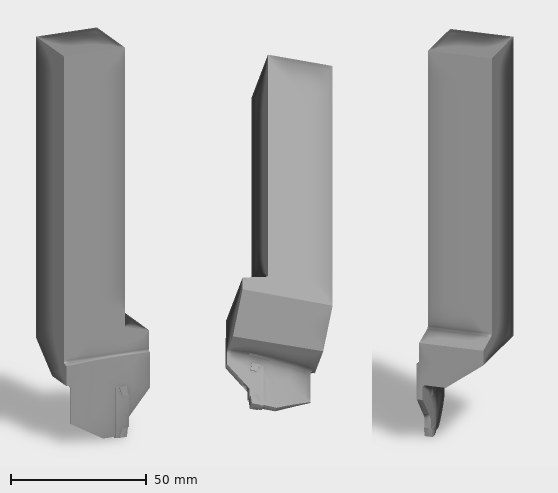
import cadquery as cq

TOTAL_HEIGHT = 151.4
SHANK_SIZE = 24.7
HEAD_DEPTH = 34.4

HEAD_BOTTOM_Z = 23.6
HEAD_SIDE_X = 27.0
HEAD_BOTTOM_START_X = 14.2
SLOPE_TOP_Z = 34.2
LEDGE_OUTER_Z = 31.3
LEDGE_INNER_Z = 32.0
FLANGE_OUTER_Z = 40.0
FLANGE_INNER_Z = 42.5
LEFT_FACE_LEAN = 0.5
CORNER_RADIUS = 0.9

CROWN_Y = 25.7
SIDE_CROWN_X = 25.5
SIDE_BACK_X = 25.6
BLADE_FRONT_Y = 1.8
BLADE_FRONT_X = 26.2
BLADE_CROWN_X = 23.0
BLADE_BACK_X = 23.3
BLADE_BOTTOM_Z = 0.6
BLADE_BOTTOM_FRONT_Y = 15.5
BLADE_FRONT_LOW_Z = 8.5
BLADE_BACK_LOW_Z = 17.7
BLADE_ROOT_RADIUS = 1.4
SELECTION_MARGIN = 0.2

INSERT_LENGTH = 19.8
INSERT_FRONT_Y = 20.5
INSERT_BACK_Y = 25.9
INSERT_TIP_Y = 25.0
INSERT_RAKE_HEIGHT = 3.6
INSERT_STEP_Y = 25.5
INSERT_PAD_INNER_Y = 23.2
INSERT_PAD_OUTER_Y = 22.0
INSERT_LEFT_X = 22.7
INSERT_RIGHT_X = 25.9
INSERT_SIDE_RELIEF = 0.3


def yz_prism(points, start_x, end_x):
    """Straight-sided outline in Y and Z, extruded along X."""
    return cq.Workplane("YZ", origin=(start_x, 0, 0)).polyline(points).close().extrude(end_x - start_x)


def right_side_profile():
    """Open plan profile along the front and up the curved right side of the head and blade."""
    return (
        cq.Workplane("XY")
        .moveTo(0, 0)
        .lineTo(HEAD_SIDE_X, 0)
        .threePointArc((SIDE_CROWN_X, CROWN_Y), (SIDE_BACK_X, HEAD_DEPTH))
    )


def make_shank_and_head():
    front = (
        cq.Workplane("XZ")
        .moveTo(-LEFT_FACE_LEAN, TOTAL_HEIGHT)
        .lineTo(SHANK_SIZE, TOTAL_HEIGHT)
        .lineTo(SHANK_SIZE, LEDGE_INNER_Z)
        .lineTo(HEAD_SIDE_X, LEDGE_OUTER_Z)
        .lineTo(HEAD_SIDE_X, HEAD_BOTTOM_Z)
        .lineTo(HEAD_BOTTOM_START_X, HEAD_BOTTOM_Z)
        .lineTo(-LEFT_FACE_LEAN, SLOPE_TOP_Z)
        .close()
        .extrude(-HEAD_DEPTH)
        .edges(cq.NearestToPointSelector((SHANK_SIZE, HEAD_DEPTH / 2, LEDGE_INNER_Z)))
        .fillet(CORNER_RADIUS)
    )
    side = yz_prism(
        [
            (0, HEAD_BOTTOM_Z),
            (HEAD_DEPTH, HEAD_BOTTOM_Z),
            (HEAD_DEPTH, FLANGE_OUTER_Z),
            (SHANK_SIZE, FLANGE_INNER_Z),
            (SHANK_SIZE, TOTAL_HEIGHT),
            (0, TOTAL_HEIGHT),
        ],
        -LEFT_FACE_LEAN,
        HEAD_SIDE_X,
    )
    side = side.edges(
        cq.NearestToPointSelector(((HEAD_SIDE_X - LEFT_FACE_LEAN) / 2, SHANK_SIZE, FLANGE_INNER_Z))
    ).fillet(CORNER_RADIUS)
    plan = (
        right_side_profile()
        .lineTo(-LEFT_FACE_LEAN, HEAD_DEPTH)
        .lineTo(0, 0)
        .close()
        .extrude(TOTAL_HEIGHT)
    )
    return front.intersect(side).intersect(plan)


def make_blade():
    right_side = right_side_profile().lineTo(0, HEAD_DEPTH).lineTo(0, 0).close().extrude(HEAD_BOTTOM_Z)
    left_side = (
        cq.Workplane("XY")
        .moveTo(HEAD_SIDE_X, BLADE_FRONT_Y)
        .lineTo(BLADE_FRONT_X, BLADE_FRONT_Y)
        .threePointArc((BLADE_CROWN_X, CROWN_Y), (BLADE_BACK_X, HEAD_DEPTH))
        .lineTo(HEAD_SIDE_X, HEAD_DEPTH)
        .close()
        .extrude(HEAD_BOTTOM_Z)
    )
    outline = yz_prism(
        [
            (BLADE_FRONT_Y, HEAD_BOTTOM_Z),
            (BLADE_FRONT_Y, BLADE_FRONT_LOW_Z),
            (BLADE_BOTTOM_FRONT_Y, BLADE_BOTTOM_Z),
            (INSERT_FRONT_Y, BLADE_BOTTOM_Z),
            (HEAD_DEPTH, BLADE_BACK_LOW_Z),
            (HEAD_DEPTH, HEAD_BOTTOM_Z),
        ],
        0,
        HEAD_SIDE_X,
    )
    return right_side.intersect(left_side).intersect(outline)


def make_insert():
    body_outline = [
        (INSERT_FRONT_Y, 0),
        (INSERT_TIP_Y, 0),
        (INSERT_STEP_Y, INSERT_RAKE_HEIGHT),
        (INSERT_BACK_Y, INSERT_RAKE_HEIGHT),
        (INSERT_BACK_Y, INSERT_LENGTH - INSERT_RAKE_HEIGHT),
        (INSERT_STEP_Y, INSERT_LENGTH - INSERT_RAKE_HEIGHT),
        (INSERT_TIP_Y, INSERT_LENGTH),
        (INSERT_FRONT_Y, INSERT_LENGTH),
    ]
    body = yz_prism(
        body_outline, INSERT_LEFT_X + INSERT_SIDE_RELIEF, INSERT_RIGHT_X - INSERT_SIDE_RELIEF
    )
    lower_end = yz_prism(
        [
            (INSERT_PAD_OUTER_Y, 0),
            (INSERT_TIP_Y, 0),
            (INSERT_STEP_Y, INSERT_RAKE_HEIGHT),
            (INSERT_PAD_INNER_Y, INSERT_RAKE_HEIGHT),
        ],
        INSERT_LEFT_X,
        INSERT_RIGHT_X,
    )
    upper_end = lower_end.mirror("XY", (0, 0, INSERT_LENGTH / 2))
    return body.union(lower_end).union(upper_end)


def make_holder(insert):
    holder = make_shank_and_head().union(make_blade())
    blade_root = cq.selectors.BoxSelector(
        (BLADE_CROWN_X, BLADE_FRONT_Y - SELECTION_MARGIN, HEAD_BOTTOM_Z - SELECTION_MARGIN),
        (HEAD_SIDE_X - SELECTION_MARGIN, HEAD_DEPTH - SELECTION_MARGIN, HEAD_BOTTOM_Z + SELECTION_MARGIN),
    )
    holder = holder.edges(blade_root).fillet(BLADE_ROOT_RADIUS)
    return holder.cut(insert)


insert = make_insert()
holder = make_holder(insert)
result = cq.Compound.makeCompound([holder.solids().val(), insert.solids().val()])